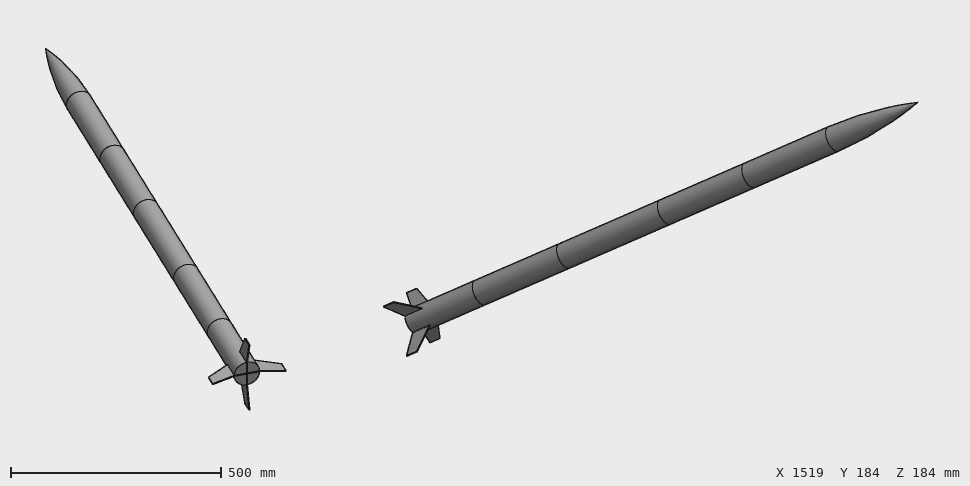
import cadquery as cq

LENGTH = 1519.0
SPAN = 184.0
BODY_RADIUS = 32.0

NOSE_END = 250.0
TUBE_JOINTS = [NOSE_END, 500.0, 750.0, 1050.0, 1300.0]
BODY_END = 1500.0

FIN_THICKNESS = 3.0
ROOT_CHORD = 50.0
TIP_CHORD = 30.0

HALF_SPAN = SPAN / 2
HALF_THICKNESS = FIN_THICKNESS / 2
ROOT_FRONT = BODY_END - ROOT_CHORD
TIP_FRONT = LENGTH - TIP_CHORD


def make_nose_cone():
    """Tangent ogive: an arc that flows into the body, revolved about X."""
    arc_radius = (NOSE_END**2 + BODY_RADIUS**2) / (2 * BODY_RADIUS)
    return (
        cq.Workplane("XY")
        .moveTo(0, 0)
        .radiusArc((NOSE_END, BODY_RADIUS), arc_radius)
        .lineTo(NOSE_END, 0)
        .close()
        .revolve(360, (0, 0, 0), (1, 0, 0))
    )


def make_tube(start, end):
    """One plain cylindrical section of the body."""
    return cq.Workplane("YZ").workplane(offset=start).circle(BODY_RADIUS).extrude(end - start)


def make_fin_plate():
    """Upper and lower fins as one upright plate through the body."""
    return (
        cq.Workplane("XZ")
        .polyline([
            (ROOT_FRONT, -BODY_RADIUS),
            (TIP_FRONT, -HALF_SPAN),
            (LENGTH, -HALF_SPAN),
            (BODY_END, -BODY_RADIUS),
            (BODY_END, BODY_RADIUS),
            (LENGTH, HALF_SPAN),
            (TIP_FRONT, HALF_SPAN),
            (ROOT_FRONT, BODY_RADIUS),
        ])
        .close()
        .extrude(HALF_THICKNESS, both=True)
    )


def make_side_fin(side):
    """One flat fin on the +Y (side 1) or -Y (side -1) side, rooted on the plate face."""
    return (
        cq.Workplane("XY")
        .polyline([
            (ROOT_FRONT, side * HALF_THICKNESS),
            (ROOT_FRONT, side * BODY_RADIUS),
            (TIP_FRONT, side * HALF_SPAN),
            (LENGTH, side * HALF_SPAN),
            (BODY_END, side * BODY_RADIUS),
            (BODY_END, side * HALF_THICKNESS),
        ])
        .close()
        .extrude(HALF_THICKNESS, both=True)
    )


nose_cone = make_nose_cone()
tube_ends = TUBE_JOINTS[1:] + [BODY_END]
tubes = [make_tube(start, end) for start, end in zip(TUBE_JOINTS, tube_ends)]
fin_plate = make_fin_plate()
side_fins = [make_side_fin(side) for side in (1, -1)]

for fin in [fin_plate, *side_fins]:
    tubes[-1] = tubes[-1].cut(fin)

bodies = [nose_cone, *tubes, fin_plate, *side_fins]
result = cq.Compound.makeCompound([body.solids().val() for body in bodies])